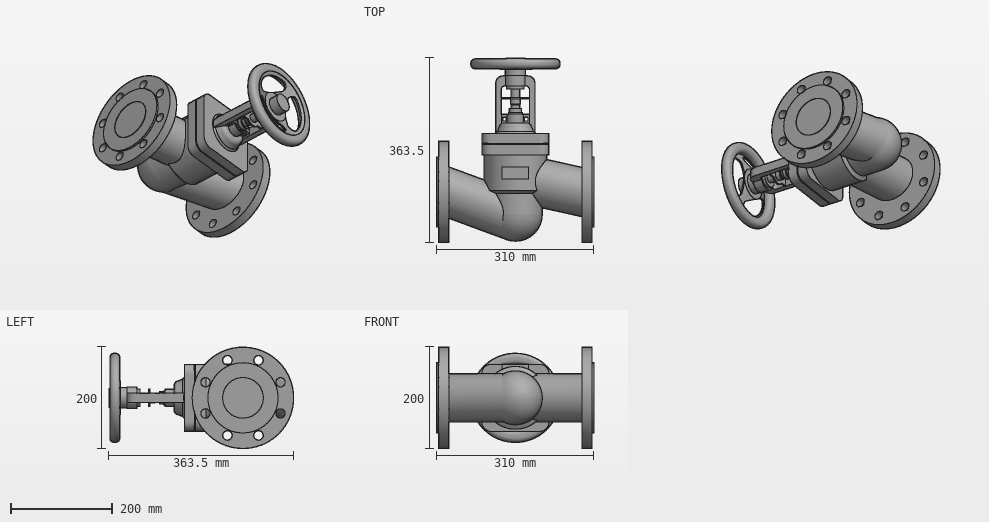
import cadquery as cq
import math


face_to_face = 310.0
flange_radius = 100.0
flange_thickness = 20.5
raised_face_radius = 69.0
raised_face_height = 4.0
port_radius = 40.0
port_recess_depth = 0.7
bolt_count = 8
bolt_circle_radius = 80.0
bolt_hole_radius = 9.0
flange_outer_x = face_to_face / 2 - raised_face_height
flange_inner_x = flange_outer_x - flange_thickness

pipe_radius = 47.5
inlet_tilt = 20.2
outlet_tilt = 12.5
bowl_radius = 53.0
bowl_y = -44.0
inlet_drop = 5.0
barrel_radius = 61.8
barrel_bottom_y = 2.5
barrel_chamfer_height = 5.0

joint_side = 132.0
joint_corner_radius = 18.0
body_joint_y = (73.0, 93.5)
cover_joint_y = (95.5, 115.2)
gasket_radius = 54.5

pad_width = 52.5
pad_y = (25.0, 49.0)
pad_top_z = 66.5

dome_foot_radius = 40.5
dome_foot_y = cover_joint_y[1]
dome_neck = (37.0, 119.0)
dome_shoulder = (33.5, 127.5)
dome_bend = (31.0, 132.5)
dome_top = (25.8, 135.5)

gland = (17.0, dome_top[1], 153.0)
gland_collar = (13.8, gland[2], 156.5)
gland_cap = (12.5, gland_collar[2], 164.3)
guide_plate_y = (182.5, 185.5)
stem_collar = (9.8, 173.0, guide_plate_y[0])
stem_neck_height = 2.0
stem_neck = (7.3, stem_collar[1] - stem_neck_height, stem_collar[1])
yoke_nut = (17.5, 202.5, 208.5)
yoke_boss = (21.5, yoke_nut[2], 228.5)
stem = (8.7, gland_cap[2], yoke_nut[1])
hub = (20.5, yoke_boss[2], 241.7)

yoke_half_width = 39.0
yoke_arm_width = 11.3
yoke_thickness = 19.0
yoke_outer_corner = 15.3
yoke_inner_corner = 7.5
yoke_inner_half = yoke_half_width - yoke_arm_width
guide_disc_radius = 17.0

lug_thickness = yoke_thickness / 2
lug_hole_side = 6.5
lug_hole_x = 21.5
lug_hole_y = 143.2

rim_outer_radius = 88.0
rim_inner_radius = 65.5
rim_y = (242.0, 262.0)
rim_fillet = 9.0
web_hub_radius = 31.3
web_bottom_y = rim_y[0] - 1.5
wheel_top_y = 263.5
wheel_cap_radius = 18.5
web_thickness = 3.3
web_edge_radius = rim_inner_radius + 3.5
web_edge_y = 257.7
spoke_count = 3
window_inner = 30.5
window_outer_radius = 61.8
window_corner = 9.8


def cylinder_y(radius, y_low, y_high):
    """Solid cylinder around the stem axis."""
    disc = cq.Workplane("XZ", origin=(0, y_low, 0)).circle(radius)
    return disc.extrude(y_low - y_high)


def block(x_span, y_span, z_span):
    """Axis-aligned box given by its low and high limits."""
    corner = (x_span[0], y_span[0], z_span[0])
    size = [span[1] - span[0] for span in (x_span, y_span, z_span)]
    return cq.Workplane("XY").box(*size, centered=False).translate(corner)


def spin(profile):
    """Revolve a closed (radius, y) profile around the stem axis."""
    return profile.close().revolve(360, (0, 0, 0), (0, 1, 0))


def port_flange(side):
    """Drilled flange with raised face; side is -1 for the inlet and +1 for the outlet."""
    plane = cq.Workplane("YZ", origin=(side * flange_inner_x, 0, 0))
    plate = plane.circle(flange_radius).extrude(side * flange_thickness)
    face = plane.circle(raised_face_radius).extrude(side * (flange_thickness + raised_face_height))
    bolts = (
        plane.polarArray(bolt_circle_radius, 180 / bolt_count, 360, bolt_count)
        .circle(bolt_hole_radius)
        .extrude(side * flange_thickness)
    )
    recess = (
        cq.Workplane("YZ", origin=(side * face_to_face / 2, 0, 0))
        .circle(port_radius)
        .extrude(-side * port_recess_depth)
    )
    return plate.cut(bolts).union(face).cut(recess)


def tilted_pipe(start, direction):
    """Round pipe from a point inside the body out to the inner face of a flange."""
    plane = cq.Plane(origin=start, xDir=(0, 0, 1), normal=direction)
    pipe = cq.Workplane(plane).circle(pipe_radius).extrude(face_to_face)
    reach = (-flange_inner_x, flange_inner_x)
    room = (-face_to_face, face_to_face)
    return pipe.intersect(block(reach, room, room))


def inlet_pipe():
    tilt = math.radians(inlet_tilt)
    start = (-inlet_drop * math.sin(tilt), bowl_y - inlet_drop * math.cos(tilt), 0)
    return tilted_pipe(start, (-math.cos(tilt), math.sin(tilt), 0))


def outlet_pipe():
    tilt = math.radians(outlet_tilt)
    start = (0, flange_inner_x * math.tan(tilt), 0)
    return tilted_pipe(start, (math.cos(tilt), -math.sin(tilt), 0))


def valve_body():
    """Round-bottomed bowl, wider barrel above it and the two pipes."""
    profile = (
        cq.Workplane("XY")
        .moveTo(0, bowl_y - bowl_radius)
        .radiusArc((bowl_radius, bowl_y), -bowl_radius)
        .lineTo(bowl_radius, barrel_bottom_y - barrel_chamfer_height)
        .lineTo(barrel_radius, barrel_bottom_y)
        .lineTo(barrel_radius, body_joint_y[0])
        .lineTo(0, body_joint_y[0])
    )
    pad = block((-pad_width / 2, pad_width / 2), pad_y, (0, pad_top_z))
    return spin(profile).union(pad).union(inlet_pipe()).union(outlet_pipe())


def joint_plate(y_span):
    """Square plate with rounded corners."""
    half = joint_side / 2
    return block((-half, half), y_span, (-half, half)).edges("|Y").fillet(joint_corner_radius)


def bonnet_joint():
    gasket = cylinder_y(gasket_radius, body_joint_y[1], cover_joint_y[0])
    return joint_plate(body_joint_y).union(gasket).union(joint_plate(cover_joint_y))


def bonnet_dome():
    profile = (
        cq.Workplane("XY")
        .moveTo(0, dome_foot_y)
        .lineTo(dome_foot_radius, dome_foot_y)
        .lineTo(*dome_neck)
        .lineTo(*dome_shoulder)
        .threePointArc(dome_bend, dome_top)
        .lineTo(0, dome_top[1])
    )
    return spin(profile)


def stem_and_gland():
    below_neck = (stem[0], stem[1], stem_neck[1])
    above_plate = (stem[0], guide_plate_y[0], stem[2])
    steps = (gland, gland_collar, gland_cap, below_neck, stem_neck, stem_collar,
             above_plate, yoke_nut, yoke_boss, hub)
    column = cylinder_y(*steps[0])
    for step in steps[1:]:
        column = column.union(cylinder_y(*step))
    return column


def yoke():
    """Arched frame standing on the bonnet, with the stem guide plate and the gland lugs."""
    half_z = yoke_thickness / 2
    z_span = (-half_z, half_z)
    inner_x = (-yoke_inner_half, yoke_inner_half)
    outer_x = (-yoke_half_width, yoke_half_width)
    frame = block(outer_x, (dome_foot_y, yoke_boss[2]), z_span)
    frame = frame.edges("|Z and >Y").fillet(yoke_outer_corner)
    opening = block(inner_x, (dome_foot_y, yoke_boss[1]), z_span)
    opening = opening.edges("|Z and >Y").fillet(yoke_inner_corner)
    guide_bar = block(inner_x, guide_plate_y, z_span)
    guide_disc = cylinder_y(guide_disc_radius, *guide_plate_y)
    lugs = block(inner_x, (dome_foot_y, gland[2]), (-lug_thickness / 2, lug_thickness / 2))
    lug_holes = (
        cq.Workplane("XY")
        .pushPoints([(-lug_hole_x, lug_hole_y), (lug_hole_x, lug_hole_y)])
        .rect(lug_hole_side, lug_hole_side)
        .extrude(lug_thickness, both=True)
    )
    return frame.cut(opening).union(guide_bar).union(guide_disc).union(lugs.cut(lug_holes))


def handwheel():
    """Rounded rim carried by a dished web with three windows."""
    bore = cylinder_y(rim_inner_radius, *rim_y)
    rim = cylinder_y(rim_outer_radius, *rim_y).cut(bore).edges("%CIRCLE").fillet(rim_fillet)
    web = spin(
        cq.Workplane("XY")
        .moveTo(0, web_bottom_y)
        .lineTo(web_hub_radius, web_bottom_y)
        .lineTo(web_edge_radius, web_edge_y)
        .lineTo(web_edge_radius, web_edge_y + web_thickness)
        .lineTo(web_hub_radius, web_bottom_y + web_thickness)
        .lineTo(wheel_cap_radius, web_bottom_y + web_thickness)
        .lineTo(wheel_cap_radius, wheel_top_y)
        .lineTo(0, wheel_top_y)
    )
    window = block(
        (window_inner, window_outer_radius),
        (web_bottom_y, wheel_top_y),
        (-window_outer_radius, window_outer_radius),
    )
    window = window.intersect(cylinder_y(window_outer_radius, web_bottom_y, wheel_top_y))
    window = window.edges("|Y").fillet(window_corner)
    for index in range(spoke_count):
        angle = 180 / spoke_count + index * 360 / spoke_count
        web = web.cut(window.rotate((0, 0, 0), (0, 1, 0), angle))
    return web.union(rim)


result = valve_body()
for piece in (port_flange(-1), port_flange(1), bonnet_joint(), bonnet_dome(),
              yoke(), stem_and_gland(), handwheel()):
    result = result.union(piece)